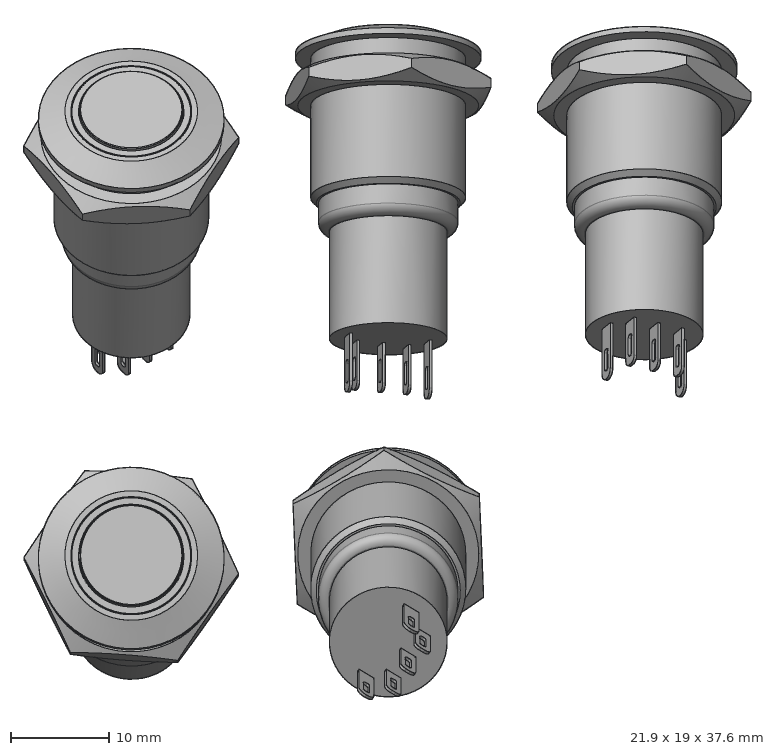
import cadquery as cq
import math

TOTAL_HEIGHT = 37.6
BEZEL_TOP = 37.35
RIM_TOP = 36.2
RIM_BOTTOM = 35.6
NUT_TOP = 33.6
NUT_HEIGHT = 2.97
BARREL_BOTTOM = 20.35
COLLAR_BOTTOM = 17.3
BASE_BOTTOM = 5.98
SHORT_TIP_HEIGHT = 1.0

RIM_DIAMETER = 18.9
BEZEL_DIAMETER = 13.5
BARREL_DIAMETER = 15.8
COLLAR_DIAMETER = 14.2
BASE_DIAMETER = 12.0
BARREL_CHAMFER = 0.55
COLLAR_FILLET = 1.0

GROOVE_OUTER_DIAMETER = 12.3
GROOVE_INNER_DIAMETER = 12.1
GROOVE_DEPTH = 0.2

BUTTON_DIAMETER = 10.5
BUTTON_CHAMFER = 0.095
RECESS_DIAMETER = 10.7
RECESS_DEPTH = 0.75

HEXAGON_SIDES = 6
NUT_ACROSS_FLATS = 19.0
NUT_FACE_DIAMETER = 18.42
NUT_CHAMFER_ANGLE = 30.0

TERMINAL_TURN = 5.0
TERMINAL_WIDTH = 1.8
TERMINAL_THICKNESS = 0.3
LONG_PITCH_RADIUS = 4.25
LONG_CORNER_RADIUS = 0.49 * TERMINAL_WIDTH
SHORT_ROW_OFFSET = 2.35
SHORT_PITCH = 2.75
SHORT_CORNER_RADIUS = 0.68
EYELET_WIDTH = 0.7
EYELET_LENGTH = 2.4
EYELET_CORNER_RADIUS = 0.25
EYELET_TIP_GAP = 0.98


def disc(diameter, bottom, top):
    """Solid cylinder on the Z axis between two heights."""
    return cq.Workplane("XY").workplane(offset=bottom).circle(diameter / 2).extrude(top - bottom)


def make_shell():
    """Turned part of the housing: bezel, barrel, collar and base."""
    rim = disc(RIM_DIAMETER, RIM_BOTTOM, RIM_TOP)
    bezel = (
        cq.Workplane("XY").workplane(offset=RIM_TOP).circle(RIM_DIAMETER / 2)
        .workplane(offset=BEZEL_TOP - RIM_TOP).circle(BEZEL_DIAMETER / 2).loft(ruled=True)
    )
    barrel = disc(BARREL_DIAMETER, BARREL_BOTTOM, RIM_BOTTOM).faces("<Z").chamfer(BARREL_CHAMFER)
    collar = disc(COLLAR_DIAMETER, COLLAR_BOTTOM, BARREL_BOTTOM).faces("<Z").edges().fillet(COLLAR_FILLET)
    base = disc(BASE_DIAMETER, BASE_BOTTOM, COLLAR_BOTTOM)
    return rim.union(bezel).union(barrel).union(collar).union(base)


def make_groove():
    """Ring of material removed from the bezel face around the button."""
    bottom = BEZEL_TOP - GROOVE_DEPTH
    return disc(GROOVE_OUTER_DIAMETER, bottom, BEZEL_TOP).cut(
        disc(GROOVE_INNER_DIAMETER, bottom, BEZEL_TOP)
    )


def make_terminal(x, y, tip, corner_radius):
    """Flat terminal with a rounded tip and an eyelet slot, hanging from the base."""
    length = BASE_BOTTOM - tip
    eyelet_center = tip + EYELET_TIP_GAP + EYELET_LENGTH / 2
    blade = (
        cq.Workplane("XY").box(TERMINAL_WIDTH, TERMINAL_THICKNESS, length)
        .edges("|Y and <Z").fillet(corner_radius)
        .translate((x, y, tip + length / 2))
    )
    eyelet = (
        cq.Workplane("XY").box(EYELET_WIDTH, TERMINAL_THICKNESS, EYELET_LENGTH)
        .edges("|Y").fillet(EYELET_CORNER_RADIUS)
        .translate((x, y, eyelet_center))
    )
    return blade.cut(eyelet).rotate((0, 0, 0), (0, 0, 1), TERMINAL_TURN)


def make_housing():
    """Shell with its recess and groove, plus the five terminals fixed in the base."""
    housing = make_shell().cut(make_groove())
    housing = housing.cut(disc(RECESS_DIAMETER, BEZEL_TOP - RECESS_DEPTH, BEZEL_TOP))
    for side in (-1, 1):
        housing = housing.union(
            make_terminal(0, side * LONG_PITCH_RADIUS, 0, LONG_CORNER_RADIUS)
        )
    for step in (-1, 0, 1):
        housing = housing.union(
            make_terminal(SHORT_ROW_OFFSET, step * SHORT_PITCH, SHORT_TIP_HEIGHT, SHORT_CORNER_RADIUS)
        )
    return housing


def make_button():
    """Push button standing on the recess floor, with a clearance gap around it."""
    plunger = disc(BUTTON_DIAMETER, BEZEL_TOP - RECESS_DEPTH, TOTAL_HEIGHT)
    return plunger.faces(">Z").chamfer(BUTTON_CHAMFER)


def make_nut():
    """Hexagonal nut around the barrel, its corners turned off at both ends."""
    corner_radius = NUT_ACROSS_FLATS / 2 / math.cos(math.pi / HEXAGON_SIDES)
    face_radius = NUT_FACE_DIAMETER / 2
    drop = (corner_radius - face_radius) * math.tan(math.radians(NUT_CHAMFER_ANGLE))
    bottom = NUT_TOP - NUT_HEIGHT
    hexagon = (
        cq.Workplane("XY").workplane(offset=bottom)
        .polygon(HEXAGON_SIDES, 2 * corner_radius).extrude(NUT_HEIGHT)
    )
    turned_blank = (
        cq.Workplane("XZ")
        .polyline([
            (0, bottom),
            (face_radius, bottom),
            (corner_radius, bottom + drop),
            (corner_radius, NUT_TOP - drop),
            (face_radius, NUT_TOP),
            (0, NUT_TOP),
        ])
        .close()
        .revolve(360, (0, 0, 0), (0, 1, 0))
    )
    return hexagon.intersect(turned_blank).cut(disc(BARREL_DIAMETER, bottom, NUT_TOP))


housing = make_housing()
button = make_button()
nut = make_nut()

result = cq.Compound.makeCompound([housing.val(), button.val(), nut.val()])